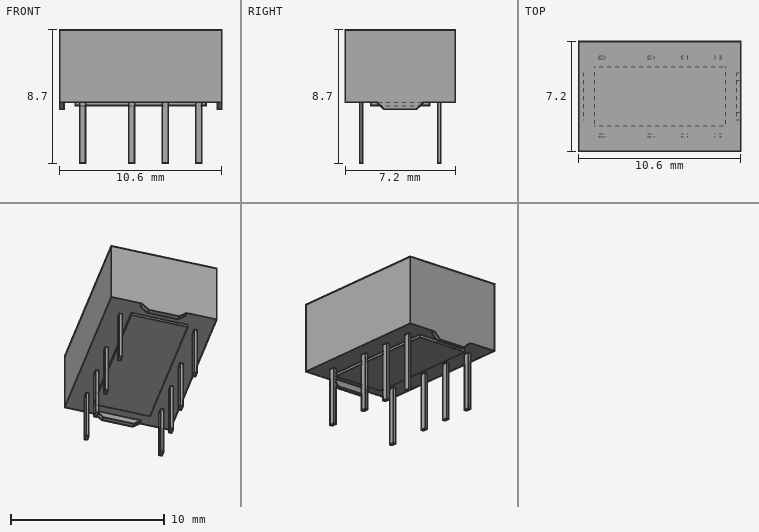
import cadquery as cq

body_length = 10.6
body_width = 7.2
overall_height = 8.7
body_height = 4.75

plate_length = 8.56
plate_width = 3.85
plate_depth = 0.2

tab_thickness = 0.3
tab_depth = 0.45
tab_tip_width = 2.1
tab_root_width = 3.06

pin_width = 0.4
pin_thickness = 0.2
pin_length = overall_height - body_height
row_spacing = 5.1
pin_pitch = 2.19
end_pin_x = 3.8
pin_positions_x = [-end_pin_x, end_pin_x - 2 * pin_pitch, end_pin_x - pin_pitch, end_pin_x]


def make_body():
    return cq.Workplane("XY").rect(body_length, body_width).extrude(body_height)


def make_base_plate():
    return cq.Workplane("XY").rect(plate_length, plate_width).extrude(-plate_depth)


def make_tab(start_x):
    """Trapezoidal tab below the body, running from start_x towards +X."""
    outline = [
        (-tab_root_width / 2, 0),
        (tab_root_width / 2, 0),
        (tab_tip_width / 2, -tab_depth),
        (-tab_tip_width / 2, -tab_depth),
    ]
    return cq.Workplane("YZ", origin=(start_x, 0, 0)).polyline(outline).close().extrude(tab_thickness)


def make_pins():
    centres = [(x, side * row_spacing / 2) for x in pin_positions_x for side in (-1, 1)]
    return cq.Workplane("XY").pushPoints(centres).rect(pin_width, pin_thickness).extrude(-pin_length)


result = make_body().union(make_base_plate())
for tab_start_x in (-body_length / 2, body_length / 2 - tab_thickness):
    result = result.union(make_tab(tab_start_x))
result = result.union(make_pins())